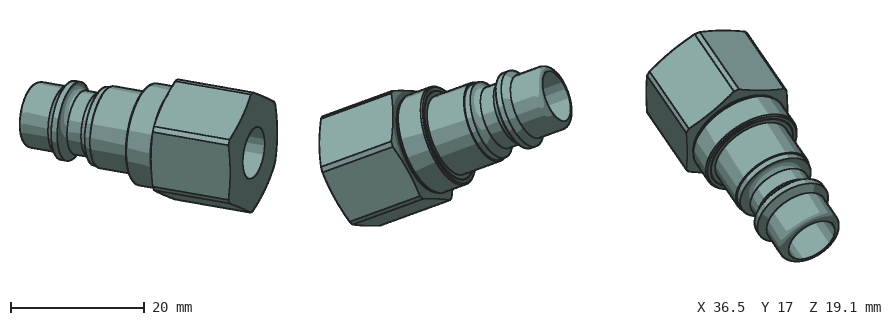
import cadquery as cq
import math

tip_fillet = 1.0
ridge_start = 5.0
ridge_top_start = 6.0
ridge_top_end = 6.97
neck_start = 8.05
neck_end = 10.35
shoulder_start = 11.45
shank_start = 12.45
collar_start = 18.9
hex_start = 23.5
overall_length = 36.5

bore_radius = 7.85 / 2
tip_radius = 10.0 / 2
ridge_radius = 12.0 / 2
neck_radius = 9.75 / 2
shank_radius = 12.5 / 2
flange_radius = 13.85 / 2
groove_sag = 0.22

socket_radius = 14.05 / 2
collar_radius = 15.5 / 2
collar_chamfer = 0.22
collar_length = 4.35
hex_across_flats = 17.0
hex_corner_radius = 19.15 / 2
hex_chamfer_depth = 0.3


def revolve_about_x(profile):
    """Turn a closed XY profile one full turn about the X axis."""
    return profile.close().revolve(360, (0, 0, 0), (1, 0, 0))


def make_plug():
    """Hollow plug with a rounded tip, a locking groove and a seating flange."""
    tip_offset = tip_fillet * (1 - math.sqrt(0.5))
    tip_arc_middle = (tip_offset, tip_radius - tip_offset)

    profile = (
        cq.Workplane("XY")
        .moveTo(0, bore_radius)
        .lineTo(0, tip_radius - tip_fillet)
        .threePointArc(tip_arc_middle, (tip_fillet, tip_radius))
        .lineTo(ridge_start, tip_radius)
        .lineTo(ridge_top_start, ridge_radius)
        .lineTo(ridge_top_end, ridge_radius)
        .sagittaArc((neck_start, neck_radius), -groove_sag)
        .lineTo(neck_end, neck_radius)
        .sagittaArc((shoulder_start, ridge_radius), -groove_sag)
        .lineTo(shank_start, ridge_radius)
        .lineTo(shank_start, shank_radius)
        .lineTo(collar_start, shank_radius)
        .lineTo(collar_start, flange_radius)
        .lineTo(hex_start, flange_radius)
        .lineTo(hex_start, bore_radius)
    )
    return revolve_about_x(profile)


def make_collar():
    """Round collar, chamfered at both ends, with a short relief before the hexagon."""
    relief_radius = collar_radius - collar_chamfer
    collar_end = collar_start + collar_length
    profile = (
        cq.Workplane("XY")
        .moveTo(collar_start, socket_radius)
        .lineTo(collar_start, relief_radius)
        .lineTo(collar_start + collar_chamfer, collar_radius)
        .lineTo(collar_end - collar_chamfer, collar_radius)
        .lineTo(collar_end, relief_radius)
        .lineTo(hex_start, relief_radius)
        .lineTo(hex_start, socket_radius)
    )
    return revolve_about_x(profile)


def make_hexagon():
    """Hexagon with flats facing Y, trimmed by a chamfered cylinder and bored through."""
    across_corners = hex_across_flats / math.cos(math.pi / 6)
    prism = (
        cq.Workplane("YZ", origin=(hex_start, 0, 0))
        .transformed(rotate=(0, 0, 90))
        .polygon(6, across_corners)
        .extrude(overall_length - hex_start)
    )
    face_radius = hex_across_flats / 2
    envelope_profile = (
        cq.Workplane("XY")
        .moveTo(hex_start, bore_radius)
        .lineTo(hex_start, face_radius)
        .lineTo(hex_start + hex_chamfer_depth, hex_corner_radius)
        .lineTo(overall_length - hex_chamfer_depth, hex_corner_radius)
        .lineTo(overall_length, face_radius)
        .lineTo(overall_length, bore_radius)
    )
    return prism.intersect(revolve_about_x(envelope_profile))


def make_housing():
    """Hexagonal housing whose collar forms the socket for the plug flange."""
    return make_hexagon().union(make_collar())


plug = make_plug()
housing = make_housing()

result = cq.Compound.makeCompound([plug.val(), housing.solids().val()])